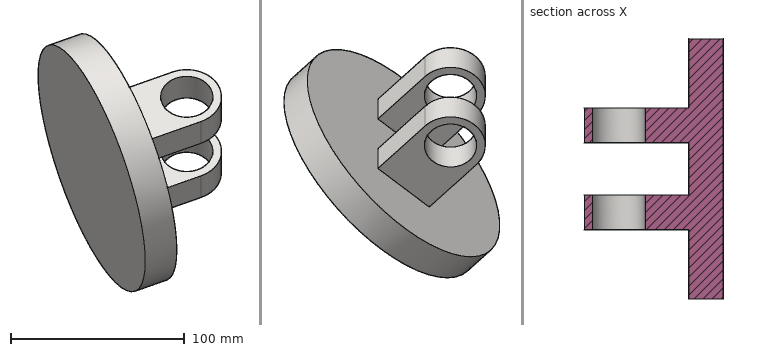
import cadquery as cq

plate_diameter = 150.0
plate_thickness = 20.0

lug_width = 40.0
lug_thickness = 20.0
lug_gap = 30.0
lug_hole_diameter = 30.0
hole_distance = 40.0

lug_radius = lug_width / 2
hole_y = plate_thickness + hole_distance
lug_pitch = lug_gap + lug_thickness


def make_plate():
    """Disc from Y = 0 to Y = plate_thickness."""
    return cq.Workplane("XZ").circle(plate_diameter / 2).extrude(-plate_thickness)


def make_lug(center_z):
    """Round-ended lug with a through hole along Z, centred on center_z."""
    bottom_z = center_z - lug_thickness / 2
    outline = (
        cq.Workplane("XY", origin=(0, 0, bottom_z))
        .moveTo(-lug_radius, plate_thickness)
        .lineTo(lug_radius, plate_thickness)
        .lineTo(lug_radius, hole_y)
        .threePointArc((0, hole_y + lug_radius), (-lug_radius, hole_y))
        .close()
    )
    hole = (
        cq.Workplane("XY", origin=(0, 0, bottom_z))
        .center(0, hole_y)
        .circle(lug_hole_diameter / 2)
        .extrude(lug_thickness)
    )
    return outline.extrude(lug_thickness).cut(hole)


result = make_plate()
for side in (-1, 1):
    result = result.union(make_lug(side * lug_pitch / 2))